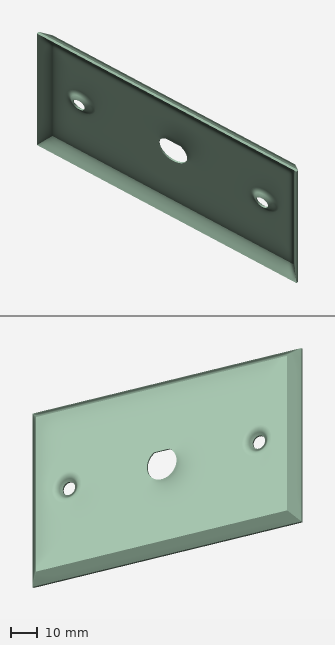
import cadquery as cq
import math

length = 116.1
height = 71.6
depth = 4.9
sheet = 0.7
wall_angle = 45.0
wall_tilt = math.radians(wall_angle)
rim_band = sheet / math.sin(wall_tilt)
floor_y = depth - sheet

d_hole_radius = 6.4
d_hole_flat = 5.5

dome_spacing = 82.0
dome_radius = 6.3
bend_radius = 3.0
bend_angle = math.radians(45.0)
screw_hole_radius = 2.7


def rim_sketch(y):
    """Full rim rectangle on a plane facing +Y."""
    return cq.Workplane("ZX", origin=(0, y, 0)).rect(height, length)


def make_tray():
    band = rim_sketch(0).extrude(rim_band)
    slope = rim_sketch(rim_band).extrude(depth - rim_band, taper=wall_angle)
    cavity = rim_sketch(0).extrude(floor_y, taper=wall_angle)
    return band.union(slope).cut(cavity)


def make_d_hole():
    half_chord = math.sqrt(d_hole_radius**2 - d_hole_flat**2)
    return (
        cq.Workplane("XZ")
        .moveTo(-half_chord, d_hole_flat)
        .threePointArc((0, -d_hole_radius), (half_chord, d_hole_flat))
        .close()
        .extrude(-depth)
    )


def make_dome():
    """Sheet of even thickness, revolved about Y, with an open screw hole."""
    outer_centre = (dome_radius, floor_y - bend_radius)
    inner_centre = (
        outer_centre[0] - 2 * bend_radius * math.sin(bend_angle),
        outer_centre[1] + 2 * bend_radius * math.cos(bend_angle),
    )

    def on_outer_bend(radius, angle):
        return (
            outer_centre[0] - radius * math.sin(angle),
            outer_centre[1] + radius * math.cos(angle),
        )

    def on_inner_bend(radius, angle):
        return (
            inner_centre[0] + radius * math.sin(angle),
            inner_centre[1] - radius * math.cos(angle),
        )

    def hole_angle(radius):
        return math.asin((screw_hole_radius - inner_centre[0]) / radius)

    front_inner = bend_radius
    back_inner = bend_radius - sheet
    back_outer = bend_radius + sheet
    front_end = hole_angle(front_inner)
    back_end = hole_angle(back_inner)
    profile = (
        cq.Workplane("XY")
        .moveTo(*on_outer_bend(bend_radius, 0))
        .threePointArc(on_outer_bend(bend_radius, bend_angle / 2), on_outer_bend(bend_radius, bend_angle))
        .threePointArc(
            on_inner_bend(front_inner, (bend_angle + front_end) / 2),
            on_inner_bend(front_inner, front_end),
        )
        .lineTo(*on_inner_bend(back_inner, back_end))
        .threePointArc(
            on_inner_bend(back_inner, (bend_angle + back_end) / 2),
            on_inner_bend(back_inner, bend_angle),
        )
        .threePointArc(on_outer_bend(back_outer, bend_angle / 2), on_outer_bend(back_outer, 0))
        .close()
    )
    return profile.revolve(360, (0, 0, 0), (0, 1, 0))


result = make_tray().cut(make_d_hole())
opening = cq.Workplane("XZ").circle(dome_radius).extrude(-depth)
dome = make_dome()
for side in (-1, 1):
    position = (side * dome_spacing / 2, 0, 0)
    result = result.cut(opening.translate(position)).union(dome.translate(position))